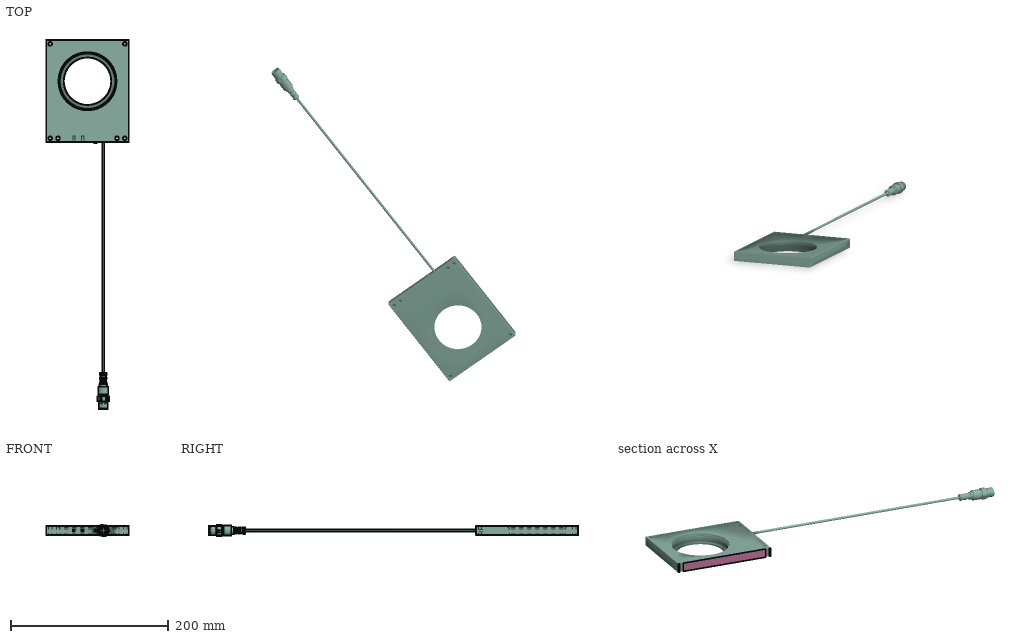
import cadquery as cq
import math

plate_width = 105.0
plate_length = 130.0
plate_thickness = 12.0
edge_chamfer = 0.35
mid_z = plate_thickness / 2
rear_y = plate_width / 2
front_y = rear_y - plate_length

opening_diameter = 60.0
ledge_thickness = 2.0
seat_diameter = 70.5
middle_step_diameter = 72.0
middle_step_depth = 4.0
rim_diameter = 74.0
rim_depth = 2.0

mount_hole_diameter = 4.3
mount_hole_inset = 5.0
extra_hole_x = 37.5

front_hole_diameter = 3.0
front_hole_depth = 8.0
front_hole_xs = (-17.5, -6.5)
lamp_diameter = 3.1
lamp_x = 10.0
lamp_length = 1.5

overall_length = 469.4
cable_x = 20.0
cable_diameter = 3.1
tip_y = rear_y - overall_length

barrel_diameter = 12.0
groove_diameter = 10.8
neck_diameter = 11.5
shoulder_diameter = 12.0
body_diameter = 13.0
collar_diameter = 10.0

barrel_end = 9.2
nut_start = 10.2
nut_end = 16.4
neck_end = 17.4
shoulder_end = 18.8
body_end = 28.7
collar_end = 31.8

boot_diameter = 7.5
boot_rib_diameters = (8.5, 8.5, 9.0)
boot_rib_width = 3.4
boot_rib_flank = 1.1
boot_rib_pitch = 5.6
boot_end = collar_end + (len(boot_rib_diameters) - 1) * boot_rib_pitch + boot_rib_width

nut_diameter = 15.0
nut_flat_count = 6
nut_across_flats = 14.0
nut_turn = 6.0

mouth_diameter = 10.8
mouth_depth = 1.0
socket_diameter = 8.5
socket_depth = 8.0
pin_diameter = 1.0
pin_circle_diameter = 5.0
pin_count = 4
first_pin_angle = 45.0
pin_recess = 1.0


def along_y(x, z, y):
    """Workplane at the given point, facing +Y."""
    return cq.Workplane(cq.Plane(origin=(x, y, z), xDir=(1, 0, 0), normal=(0, 1, 0)))


def connector_disc(diameter, start, end):
    """Cylinder on the cable axis between two distances from the tip."""
    return along_y(cable_x, mid_z, tip_y + start).circle(diameter / 2).extrude(end - start)


def mount_hole_points():
    """Holes in all four corners, plus one more on each side of the front row."""
    corner_x = plate_width / 2 - mount_hole_inset
    front_row_y = front_y + mount_hole_inset
    rear_row_y = rear_y - mount_hole_inset
    points = []
    for side in (-1, 1):
        points.append((side * corner_x, rear_row_y))
        points.append((side * corner_x, front_row_y))
        points.append((side * extra_hole_x, front_row_y))
    return points


def make_plate():
    plate = cq.Workplane("XY").box(
        plate_width, plate_length, plate_thickness, centered=(True, False, False)
    )
    plate = plate.translate((0, front_y, 0))
    plate = plate.edges("|Y or <Y").chamfer(edge_chamfer)

    top = cq.Workplane("XY", origin=(0, 0, plate_thickness))
    window_steps = (
        (rim_diameter, rim_depth),
        (middle_step_diameter, middle_step_depth),
        (seat_diameter, plate_thickness - ledge_thickness),
        (opening_diameter, plate_thickness),
    )
    for diameter, depth in window_steps:
        plate = plate.cut(top.circle(diameter / 2).extrude(-depth))

    mount_holes = top.pushPoints(mount_hole_points()).circle(mount_hole_diameter / 2)
    plate = plate.cut(mount_holes.extrude(-plate_thickness))

    for x in front_hole_xs:
        front_hole = along_y(x, mid_z, front_y).circle(front_hole_diameter / 2)
        plate = plate.cut(front_hole.extrude(front_hole_depth))
    return plate


def make_lamp():
    """Round indicator lamp standing out of the front face."""
    return along_y(lamp_x, mid_z, front_y - lamp_length).circle(lamp_diameter / 2).extrude(lamp_length)


def make_nut():
    """Round nut with flats that leave narrow strips of the round surface."""
    nut = connector_disc(nut_diameter, nut_start, nut_end)
    across_corners = nut_across_flats / math.cos(math.pi / nut_flat_count)
    flats = along_y(cable_x, mid_z, tip_y + nut_start).polygon(nut_flat_count, across_corners)
    prism = flats.extrude(nut_end - nut_start)
    return nut.intersect(prism.rotate((cable_x, 0, mid_z), (cable_x, 1, mid_z), nut_turn))


def make_boot_rib(diameter, start):
    """Rib of the cable boot, its two flanks sloping down to the boot."""
    rib = connector_disc(diameter, start, start + boot_rib_width)
    flank_height = (diameter - boot_diameter) / 2
    return rib.faces("|Y").chamfer(boot_rib_flank, flank_height)


def make_pin(angle):
    """Contact pin standing on the socket floor."""
    radius = pin_circle_diameter / 2
    pin_x = cable_x + radius * math.cos(angle)
    pin_z = mid_z + radius * math.sin(angle)
    pin = along_y(pin_x, pin_z, tip_y + pin_recess).circle(pin_diameter / 2)
    return pin.extrude(socket_depth - pin_recess)


def make_connector():
    connector = connector_disc(barrel_diameter, 0, barrel_end)
    round_sections = (
        (groove_diameter, barrel_end, nut_start),
        (neck_diameter, nut_end, neck_end),
        (shoulder_diameter, neck_end, shoulder_end),
        (body_diameter, shoulder_end, body_end),
        (collar_diameter, body_end, collar_end),
        (boot_diameter, collar_end, boot_end),
    )
    connector = connector.union(make_nut())
    for diameter, start, end in round_sections:
        connector = connector.union(connector_disc(diameter, start, end))
    for i, diameter in enumerate(boot_rib_diameters):
        connector = connector.union(make_boot_rib(diameter, collar_end + i * boot_rib_pitch))

    connector = connector.cut(connector_disc(mouth_diameter, 0, mouth_depth))
    connector = connector.cut(connector_disc(socket_diameter, 0, socket_depth))
    for i in range(pin_count):
        angle = math.radians(first_pin_angle) + i * 2 * math.pi / pin_count
        connector = connector.union(make_pin(angle))
    return connector


def make_cable():
    cable_start = tip_y + boot_end
    return along_y(cable_x, mid_z, cable_start).circle(cable_diameter / 2).extrude(front_y - cable_start)


result = make_plate().union(make_lamp()).union(make_connector()).union(make_cable())